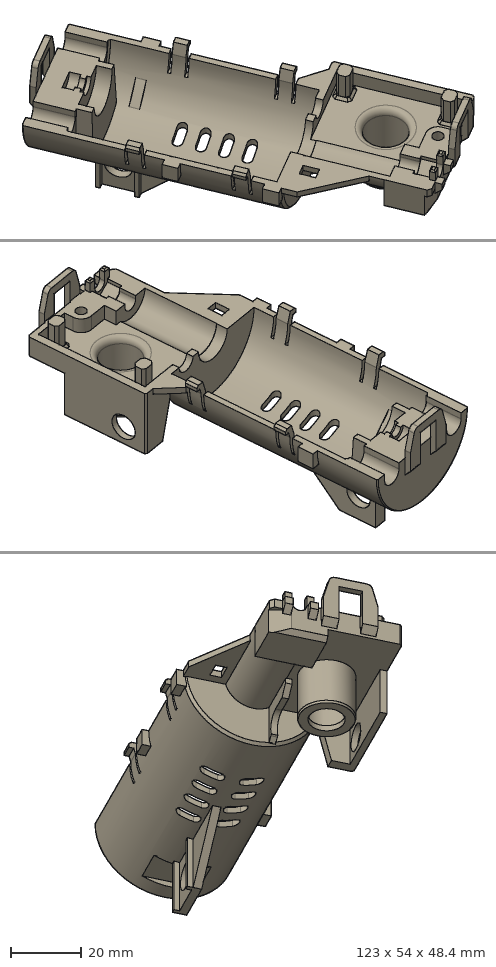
import cadquery as cq
import math


length = 123.0
loop_thick = 2.0
body_x0 = loop_thick
body_x1 = length - 2.2
tube_r = 21.0
wall = 2.0
bore_r = tube_r - wall
lug_y = 23.0
deck_y = 31.0

cavity_x0 = 14.6
cavity_x1 = 78.0
bulkhead_x1 = cavity_x1 + 2.3

wing_thick = 2.1
pocket_floor_z = -5.0
deck_thick = wall - pocket_floor_z
deck_bottom_z = -deck_thick
end_box_z = -10.7
leg_bottom_z = -38.1
boss_bottom_z = -22.1

channel_r = 6.8
channel_outer_r = 8.6
deck_low_y = -channel_outer_r
channel_x1 = 107.9
above = 14.8


def block(x0, x1, y0, y1, z0, z1):
    return cq.Workplane("XY").box(x1 - x0, y1 - y0, z1 - z0, centered=False).translate((x0, y0, z0))


def plan_prism(points, z0, z1):
    """Outline in (x, y), extruded from z0 to z1."""
    return cq.Workplane("XY").workplane(offset=z0).polyline(points).close().extrude(z1 - z0)


def side_prism(points, y0, y1):
    """Outline in (x, z), extruded from y0 to y1."""
    return cq.Workplane("XZ", origin=(0, y0, 0)).polyline(points).close().extrude(y0 - y1)


def end_prism(points, x0, x1):
    """Outline in (y, z), extruded from x0 to x1."""
    return cq.Workplane("YZ", origin=(x0, 0, 0)).polyline(points).close().extrude(x1 - x0)


def rod(x0, x1, radius, y=0, z=0):
    """Cylinder along X."""
    return cq.Workplane("YZ", origin=(x0, y, z)).circle(radius).extrude(x1 - x0)


def half_rod(x0, x1, radius):
    """Lower half of a cylinder on the tube axis."""
    return rod(x0, x1, radius).intersect(block(x0, x1, -radius, radius, -radius, 0))


def post(x, y, radius, z0, z1):
    """Cylinder along Z."""
    return cq.Workplane("XY", origin=(x, y, z0)).circle(radius).extrude(z1 - z0)


def y_hole(x, z, radius):
    """Cylinder along Y, long enough to pass through the whole part."""
    return cq.Workplane("XZ", origin=(x, -deck_y, z)).circle(radius).extrude(-3 * deck_y)


def trough(x0, x1, y, radius, axis_z=0):
    """Round-bottomed groove along X, open upward."""
    return rod(x0, x1, radius, y, axis_z).union(block(x0, x1, y - radius, y + radius, axis_z, above))


start_chamfer = 0.4
end_chamfer = 0.9
cavity_chamfer = 0.6
bulge_x1 = 20.0
bulge_y = 10.7
bulge_draft = 0.7
bearing_r = 8.0
notch_x0 = 7.6
notch_z = -19.2
leg_x0 = 18.1


def make_tube():
    tube = rod(body_x0, bulkhead_x1, tube_r)
    tube = tube.faces("<X").chamfer(start_chamfer).faces(">X").chamfer(end_chamfer)
    tube = tube.intersect(block(body_x0, bulkhead_x1, -tube_r, tube_r, -tube_r, 0))
    cavity = rod(cavity_x0, cavity_x1, bore_r).faces("<X").chamfer(cavity_chamfer)
    tube = tube.cut(cavity)
    draft_angle = math.degrees(math.atan(bulge_draft / tube_r))
    bulge = cq.Workplane("XY", origin=((notch_x0 + bulge_x1) / 2, 0, -tube_r))
    bulge = bulge.rect(bulge_x1 - notch_x0, 2 * bulge_y).extrude(tube_r, taper=draft_angle)
    tube = tube.union(bulge.intersect(half_rod(cavity_x0, bulge_x1, tube_r)))
    return tube.cut(block(notch_x0, leg_x0, -tube_r, tube_r, -tube_r, notch_z))


side_trough_y = 14.4
side_trough_r = 3.3
side_trough_axis_z = -2.2
terminal_r = 3.2
terminal_x0 = 8.1
neck_r = 2.0
neck_x0 = 11.6
neck_x1 = 13.4


def end_block_grooves():
    grooves = trough(cavity_x0, bulge_x1, 0, bearing_r)
    for side in (-1, 1):
        grooves = grooves.union(
            trough(body_x0, cavity_x0, side * side_trough_y, side_trough_r, side_trough_axis_z))
    for x0, x1, radius in [(terminal_x0, neck_x0, terminal_r), (neck_x0, neck_x1, neck_r),
                           (neck_x1, cavity_x0, terminal_r)]:
        grooves = grooves.union(trough(x0, x1, 0, radius))
    return grooves


pad_x0 = 23.7
pad_length = 3.2
pad_width = 8.5
pad_angle = 45.0


def wall_pads():
    chord_r = math.sqrt(bore_r**2 - (pad_width / 2)**2)
    pads = None
    for angle in (-pad_angle, pad_angle):
        pad = block(pad_x0, pad_x0 + pad_length, -pad_width / 2, pad_width / 2, -bore_r - wall / 2, -chord_r)
        pad = pad.rotate((0, 0, 0), (1, 0, 0), angle)
        pads = pad if pads is None else pads.union(pad)
    return pads


vent_x0 = 40.5
vent_pitch = 7.0
vent_count = 4
vent_length = 7.3
vent_width = 3.2
vent_y = 5.9


def vents():
    centres = [(vent_x0 + i * vent_pitch, side * vent_y) for i in range(vent_count) for side in (-1, 1)]
    return (cq.Workplane("XY").workplane(offset=-tube_r - 1.2).pushPoints(centres)
            .slot2D(vent_length, vent_width, 90).extrude(tube_r))


lug_depth = 5.4
lug_spans = [(23.7, 29.2, 1), (44.8, 49.6, -1), (74.9, 80.0, -1)]
lug_root_y = tube_r - wall / 2


def lugs():
    made = None
    for x0, x1, side in lug_spans:
        y0, y1 = sorted((side * lug_root_y, side * lug_y))
        lug = block(x0, x1, y0, y1, -lug_depth, 0).cut(rod(x0, x1, lug_root_y))
        made = lug if made is None else made.union(lug)
    return made


clip_centres = [35.8, 67.9]
clip_width = 4.2
clip_gap = 0.92
clip_slit_depth = 6.8
clip_height = 3.8
hook_z = 1.8
hook_inner_y = 20.3
hook_neck_y = 21.5
hook_bevel = 0.7
clip_root_inset = 0.1


def clip_slits():
    slits = None
    for centre in clip_centres:
        for x0 in (centre - clip_width / 2 - clip_gap, centre + clip_width / 2):
            slit = block(x0, x0 + clip_gap, -lug_y, lug_y, -clip_slit_depth, 0)
            slits = slit if slits is None else slits.union(slit)
    return slits


def clips():
    profile = [(bore_r, -wall), (bore_r, 0), (hook_inner_y, clip_height),
               (lug_y - hook_bevel, clip_height), (lug_y, clip_height - hook_bevel), (lug_y, hook_z),
               (hook_neck_y, hook_z), (tube_r, 0), (tube_r - clip_root_inset, -wall)]
    made = None
    for centre in clip_centres:
        for side in (-1, 1):
            points = [(side * y, z) for y, z in profile]
            clip = end_prism(points, centre - clip_width / 2, centre + clip_width / 2)
            made = clip if made is None else made.union(clip)
    return made


loop_top_z = 10.3
loop_half = 8.2
loop_top_half = 6.2
loop_corner = 1.8
loop_bottom_z = -6.3
loop_bevel = 2.2
loop_bend_z = 2.8
window_half = 3.6
window_top_z = 7.4
far_loop_y = 14.8


def loop_at_start():
    outline = [(-loop_half, loop_bottom_z), (-loop_half, loop_bend_z), (-loop_top_half, loop_top_z),
               (loop_top_half, loop_top_z), (loop_half, loop_bend_z), (loop_half, loop_bottom_z)]
    loop = end_prism(outline, 0, loop_thick)
    loop = loop.edges("|X").edges(">Z").fillet(loop_corner)
    loop = loop.cut(block(0, loop_thick, -window_half, window_half, loop_bottom_z, window_top_z))
    bevel = [(0, loop_bottom_z), (loop_thick, loop_bottom_z), (0, loop_bottom_z + loop_bevel)]
    return loop.cut(side_prism(bevel, -loop_half, loop_half))


def loop_at_end():
    link = block(body_x1, length - loop_thick, -loop_half, loop_half, loop_bottom_z + loop_bevel, 0)
    link = link.cut(block(body_x1, length, -window_half, window_half, loop_bottom_z, 0))
    loop = loop_at_start().mirror("YZ").translate((length, 0, 0)).union(link)
    return loop.translate((0, far_loop_y, 0))


leg_x1 = 31.2
leg_brace_x = 48.3
leg_y0 = -3.1
leg_y1 = 1.2
leg_plate_y0 = -1.4
leg_rib = 1.4
leg_root_overlap = 0.5
leg_hole_r = 4.2
leg_hole_x = 24.4
leg_hole_z = -29.3


def leg():
    root_z = notch_z - leg_root_overlap
    outline = [(leg_x0, root_z), (leg_x0, leg_bottom_z), (leg_x1, leg_bottom_z),
               (leg_brace_x, -tube_r), (leg_brace_x, root_z)]
    made = side_prism(outline, leg_plate_y0, leg_y1)
    for x0 in (leg_x0, leg_x1 - leg_rib):
        made = made.union(block(x0, x0 + leg_rib, leg_y0, leg_y1, leg_bottom_z, root_z))
    return made.cut(y_hole(leg_hole_x, leg_hole_z, leg_hole_r))


flare_x0 = 70.8
flare_y0 = 21.4
flare_y1 = 27.7
wing_tip = (84.7, -tube_r)
wing_end_x = 102.2
deck_corner = 0.6
end_corner = 1.1
end_box_x0 = 106.6
end_box_upper_z = -2.8
end_slant_x = 2.0
end_slant_y = 6.2
end_box_bevel = 1.5


def deck():
    flare = [(flare_x0, bore_r), (flare_x0, flare_y0), (cavity_x1, flare_y1), (bulkhead_x1, flare_y1),
             (bulkhead_x1, bore_r)]
    made = plan_prism(flare, -wing_thick, 0).cut(rod(flare_x0, cavity_x1, bore_r))
    wing = [(cavity_x1, 0), (wing_end_x, 0), (wing_end_x, deck_low_y), wing_tip, (cavity_x1, -tube_r)]
    made = made.union(plan_prism(wing, -wing_thick, 0))
    made = made.union(half_rod(cavity_x1, end_box_x0, channel_outer_r))
    main = block(cavity_x1, body_x1, 0, deck_y, deck_bottom_z, 0)
    made = made.union(main.edges("|Z and >Y").chamfer(deck_corner))
    box = block(end_box_x0, body_x1, deck_low_y, channel_outer_r, end_box_z, 0)
    box = box.edges("<Z and >X").chamfer(end_box_bevel)
    slant = [(body_x1 - end_slant_x, deck_low_y), (body_x1, deck_low_y), (body_x1, deck_low_y + end_slant_y)]
    box = box.cut(plan_prism(slant, end_box_z, end_box_upper_z))
    corner = [(body_x1 - end_corner, deck_low_y), (body_x1, deck_low_y), (body_x1, deck_low_y + end_corner)]
    return made.union(box.cut(plan_prism(corner, end_box_upper_z, 0)))


pocket_x0 = 80.3
pocket_x1 = 119.0
pocket_y1 = 28.4
pocket_step_y = 16.2
pocket_step_x = 112.2
pocket_low_y = 6.5
screw_x = 115.9
screw_y = 12.5
screw_r = 1.7
screw_depth = 4.9
screw_wall_r = pocket_step_y - screw_y
wing_window_x0 = 83.0
wing_window_x1 = 88.0
wing_window_y0 = -14.0
wing_window_y1 = -10.6


def pocket():
    corner_mid = screw_wall_r * math.sqrt(0.5)
    return (cq.Workplane("XY").workplane(offset=pocket_floor_z)
            .moveTo(pocket_x0, 0).lineTo(pocket_x0, pocket_y1).lineTo(pocket_x1, pocket_y1)
            .lineTo(pocket_x1, pocket_step_y).lineTo(screw_x, pocket_step_y)
            .threePointArc((screw_x - corner_mid, screw_y + corner_mid), (pocket_step_x, screw_y))
            .lineTo(pocket_step_x, pocket_low_y).lineTo(channel_x1, pocket_low_y)
            .lineTo(channel_x1, 0).close().extrude(above))


entry_r = 6.6
entry_x1 = 81.9
cable_y = 12.4
cable_r = 3.2
neck_groove_r = 2.5
neck_groove_axis_z = -1.2
vee_x0 = 113.8
vee_half = 3.6
vee_depth = 2.7
prong_x0 = 119.0
prong_gap_half = 2.2


def deck_grooves():
    grooves = trough(cavity_x1, entry_x1, 0, entry_r)
    grooves = grooves.union(trough(entry_x1, channel_x1, 0, channel_r))
    grooves = grooves.union(trough(cavity_x1, pocket_x0, cable_y, cable_r))
    grooves = grooves.union(trough(channel_x1, vee_x0, 0, neck_groove_r, neck_groove_axis_z))
    vee = [(-vee_half, 0), (-vee_half, neck_groove_axis_z), (0, neck_groove_axis_z - vee_depth),
           (vee_half, neck_groove_axis_z), (vee_half, 0)]
    grooves = grooves.union(end_prism(vee, vee_x0, prong_x0))
    return grooves.union(trough(prong_x0, body_x1, 0, prong_gap_half))


prong_half = 4.4
prong_height = 3.8
prong_bevel = 0.5
peg_y0 = 2.6
peg_y1 = 5.0
peg_bottom_z = -4.5


def prongs():
    peg_length = length - body_x1
    peg = [(body_x1, 0), (length, 0), (length, peg_bottom_z + peg_length), (body_x1, peg_bottom_z)]
    made = None
    for side in (-1, 1):
        y0, y1 = sorted((side * prong_gap_half, side * prong_half))
        prong = block(prong_x0, body_x1, y0, y1, -wing_thick, prong_height).edges(">Z").chamfer(prong_bevel)
        y0, y1 = sorted((side * peg_y0, side * peg_y1))
        prong = prong.union(side_prism(peg, y0, y1))
        made = prong if made is None else made.union(prong)
    return made


boss_x = 99.1
boss_y = 15.6
boss_r = 8.4
boss_bore_r = 6.6
boss_hole_r = 5.3
boss_ledge = 1.8
boss_lip = 2.1
boss_edge = 0.7
boss_edge_inset = 0.2


def boss():
    made = post(boss_x, boss_y, boss_r, boss_bottom_z, pocket_floor_z)
    return made.faces("<Z").chamfer(boss_edge, boss_edge_inset)


def boss_bore():
    """Through hole with a ledge at the bottom and a rounded mouth at the pocket floor."""
    ledge_z = boss_bottom_z + boss_ledge
    mouth_z = pocket_floor_z
    profile = (cq.Workplane("XZ", origin=(boss_x, boss_y, 0))
               .moveTo(0, boss_bottom_z).lineTo(boss_hole_r, boss_bottom_z)
               .lineTo(boss_hole_r, ledge_z).lineTo(boss_bore_r, ledge_z)
               .lineTo(boss_bore_r, mouth_z - boss_lip)
               .radiusArc((boss_bore_r + boss_lip, mouth_z), boss_lip)
               .lineTo(0, mouth_z).close())
    return profile.revolve(360, (0, 0, 0), (0, 1, 0))


pin_centres = [(83.8, 24.7), (115.3, 24.7)]
pin_x = 4.0
pin_y = 4.7
pin_top_z = 4.4
pin_corner = 1.0
pin_foot = 0.9
pin_foot_bevel = 0.81


def pins():
    made = None
    for x, y in pin_centres:
        base = cq.Workplane("XY", origin=(x, y, pocket_floor_z))
        shaft = base.rect(pin_x, pin_y).extrude(pin_top_z - pocket_floor_z)
        shaft = shaft.edges("|Z").chamfer(pin_corner)
        foot = base.rect(pin_x + 2 * pin_foot, pin_y + 2 * pin_foot).extrude(pin_foot)
        foot = foot.edges("|Z").chamfer(pin_corner)
        foot = foot.faces(">Z").edges().chamfer(pin_foot_bevel)
        pin = shaft.union(foot)
        made = pin if made is None else made.union(pin)
    return made


mount_x0 = cavity_x1
mount_rib_x1 = 81.2
mount_hole_x = 86.1
mount_hole_z = -16.0
mount_hole_r = 4.2
mount_wall = 2.1
rib_low_y = 23.2
rib_high_y = 19.9
rib_top_z = -9.0
web_y0 = 4.7
web_y1 = 6.6
web_z = mount_hole_z + mount_hole_r
web_slope = 3.1
web_flat_x = 91.9
web_foot_x = 82.0
web_foot_z = -18.5
web_root_z = -19.8


def mounting_wall():
    made = block(mount_x0, boss_x + boss_r, deck_y - mount_wall, deck_y, boss_bottom_z, -wing_thick)
    rib = [(deck_y, 0), (deck_y, boss_bottom_z), (rib_low_y, boss_bottom_z), (rib_high_y, rib_top_z),
           (rib_high_y, 0)]
    made = made.union(end_prism(rib, mount_x0, mount_rib_x1))
    made = made.edges("|Z and <X and >Y").chamfer(deck_corner)
    web_tip_x = web_flat_x + web_slope
    web = [(bulkhead_x1, deck_bottom_z), (bulkhead_x1, web_root_z), (web_foot_x, web_foot_z),
           (mount_hole_x, mount_hole_z), (mount_hole_x, web_z), (web_flat_x, web_z),
           (web_tip_x, web_z + web_slope), (web_tip_x, deck_bottom_z)]
    made = made.union(side_prism(web, web_y0, web_y1))
    return made.cut(y_hole(mount_hole_x, mount_hole_z, mount_hole_r))


result = make_tube().union(deck()).union(mounting_wall()).union(boss()).union(leg())
result = result.union(lugs()).union(wall_pads())
result = result.cut(end_block_grooves()).cut(pocket()).cut(deck_grooves()).cut(boss_bore())
result = result.cut(vents()).cut(clip_slits())
result = result.cut(post(screw_x, screw_y, screw_r, -screw_depth, 0))
result = result.cut(block(wing_window_x0, wing_window_x1, wing_window_y0, wing_window_y1, -wing_thick, 0))
result = result.union(clips()).union(prongs()).union(pins())
result = result.union(loop_at_start()).union(loop_at_end())